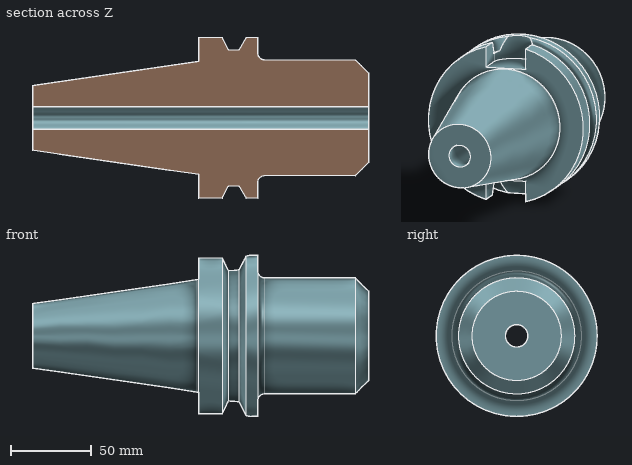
import cadquery as cq
import math

total_length = 208.3
taper_length = 101.9
flange_start = 103.0
groove_start = 117.5
groove_floor_start = 121.2
groove_floor_end = 128.0
groove_end = 132.3
flange_end = 139.5

flange_radius = 50.0
groove_floor_radius = 42.5
taper_large_radius = 35.0
taper_ratio = 7 / 24
taper_small_radius = taper_large_radius - taper_length * taper_ratio / 2
shank_radius = 36.0
bore_radius = 6.9

shank_fillet = 4.2
end_chamfer = 8.3

slot_width = 25.6
slot_end = 134.4
slot_floor_height = 35.5


def make_body():
    """Revolve taper, grooved flange and chamfered shank about the X axis."""
    fillet_center_x = flange_end + shank_fillet
    fillet_center_r = shank_radius + shank_fillet
    fillet_offset = shank_fillet * math.sqrt(0.5)
    fillet_middle = (fillet_center_x - fillet_offset, fillet_center_r - fillet_offset)
    profile = (
        cq.Workplane("XY")
        .moveTo(0, 0)
        .lineTo(0, taper_small_radius)
        .lineTo(taper_length, taper_large_radius)
        .lineTo(flange_start, taper_large_radius)
        .lineTo(flange_start, flange_radius)
        .lineTo(groove_start, flange_radius)
        .lineTo(groove_floor_start, groove_floor_radius)
        .lineTo(groove_floor_end, groove_floor_radius)
        .lineTo(groove_end, flange_radius)
        .lineTo(flange_end, flange_radius)
        .lineTo(flange_end, fillet_center_r)
        .threePointArc(fillet_middle, (fillet_center_x, shank_radius))
        .lineTo(total_length - end_chamfer, shank_radius)
        .lineTo(total_length, shank_radius - end_chamfer)
        .lineTo(total_length, 0)
        .close()
    )
    return profile.revolve(360, (0, 0, 0), (1, 0, 0))


def make_drive_slot():
    """Round-ended cutter for the top slot, open toward the taper."""
    half_width = slot_width / 2
    arc_start = slot_end - half_width
    return (
        cq.Workplane("XY", origin=(0, 0, slot_floor_height))
        .moveTo(flange_start, -half_width)
        .lineTo(arc_start, -half_width)
        .threePointArc((slot_end, 0), (arc_start, half_width))
        .lineTo(flange_start, half_width)
        .close()
        .extrude(flange_radius - slot_floor_height)
    )


def make_bore():
    """Cylinder for the central through hole."""
    return cq.Workplane("YZ").circle(bore_radius).extrude(total_length)


top_slot = make_drive_slot()
bottom_slot = top_slot.mirror("XY")
result = make_body().cut(top_slot).cut(bottom_slot).cut(make_bore())